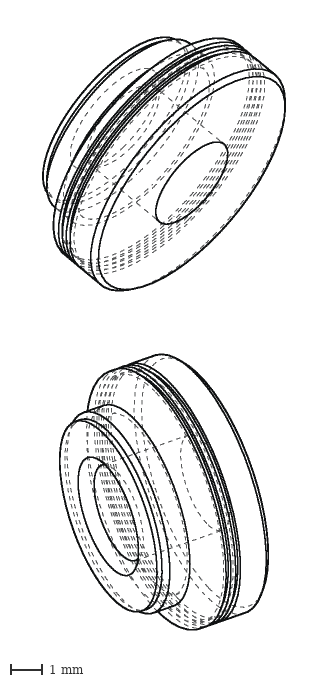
import cadquery as cq
import math


length = 3.53
flange_radius = 4.37

pilot_radius = 3.22
pilot_length = 0.18
boss_radius = 3.4
boss_chamfer = boss_radius - pilot_radius
boss_end = 1.1

neck_radius = 3.07
neck_fillet = 0.18
flange_start = 1.55

flange_round = 0.175
flange_chamfer = 0.175

groove_starts = (1.89, 2.24)
groove_width = 0.175
groove_depth = 0.175

bore_radius = 1.62
countersink_radius = 1.99
countersink_depth = 0.38


def arc_middle(center, radius, degrees):
    """Point on a circle, used as the middle of a quarter arc."""
    angle = math.radians(degrees)
    return (center[0] + radius * math.cos(angle), center[1] + radius * math.sin(angle))


def turn(profile):
    """Revolve a closed (x, radius) profile in the XZ plane about the X axis."""
    return profile.close().revolve(360, (0, 0, 0), (1, 0, 0))


def make_body():
    """Turned body with the neck fillets and the flange edge treatments."""
    fillet_level = neck_radius + neck_fillet
    boss_fillet_center = (boss_end + neck_fillet, fillet_level)
    flange_fillet_center = (flange_start - neck_fillet, fillet_level)
    round_center = (flange_start + flange_round, flange_radius - flange_round)
    return turn(
        cq.Workplane("XZ")
        .moveTo(0, 0)
        .lineTo(0, pilot_radius)
        .lineTo(pilot_length, pilot_radius)
        .lineTo(pilot_length + boss_chamfer, boss_radius)
        .lineTo(boss_end, boss_radius)
        .lineTo(boss_end, fillet_level)
        .threePointArc(
            arc_middle(boss_fillet_center, neck_fillet, 225),
            (boss_fillet_center[0], neck_radius),
        )
        .lineTo(flange_fillet_center[0], neck_radius)
        .threePointArc(
            arc_middle(flange_fillet_center, neck_fillet, 315),
            (flange_start, fillet_level),
        )
        .lineTo(flange_start, round_center[1])
        .threePointArc(
            arc_middle(round_center, flange_round, 135),
            (round_center[0], flange_radius),
        )
        .lineTo(length - flange_chamfer, flange_radius)
        .lineTo(length, flange_radius - flange_chamfer)
        .lineTo(length, 0)
    )


def make_bore():
    """Through bore widening to the countersink at x = 0."""
    return turn(
        cq.Workplane("XZ")
        .moveTo(0, 0)
        .lineTo(0, countersink_radius)
        .lineTo(countersink_depth, bore_radius)
        .lineTo(length, bore_radius)
        .lineTo(length, 0)
    )


def make_groove(start):
    """Ring that cuts one square groove into the flange."""
    return (
        cq.Workplane("YZ", origin=(start, 0, 0))
        .circle(flange_radius)
        .circle(flange_radius - groove_depth)
        .extrude(groove_width)
    )


result = make_body().cut(make_bore())
for groove_start in groove_starts:
    result = result.cut(make_groove(groove_start))